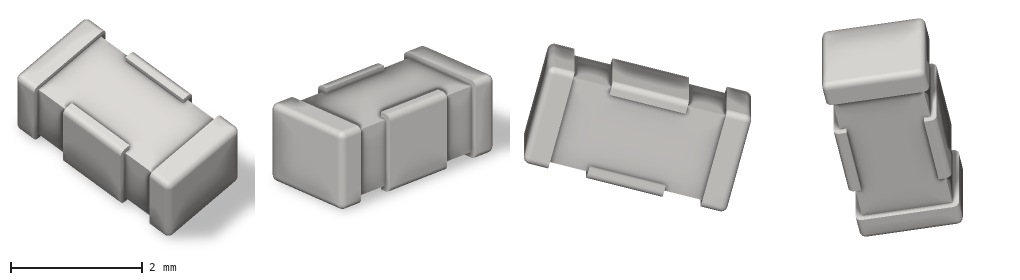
import cadquery as cq

length = 3.2
width = 1.6
height = 1.3

plating = 0.1
cap_length = 0.4
side_length = 1.2
lip_depth = 2 * plating

body_width = width - 2 * plating
body_height = height - 2 * plating


def end_cap(side):
    """Terminal covering one end, rounded everywhere but on its inner face."""
    inner_face = "<X" if side > 0 else ">X"
    cap = cq.Workplane("XY").box(cap_length, width, height)
    cap = cap.edges(f"not({inner_face})").fillet(plating)
    return cap.translate((side * (length - cap_length) / 2, 0, 0))


def side_terminal(side):
    """Terminal on one long side, with lips folded over the top and bottom."""
    outer_face = ">Y" if side > 0 else "<Y"
    terminal = cq.Workplane("XY").box(side_length, lip_depth, height)
    terminal = terminal.edges(f"|X and {outer_face}").fillet(plating)
    return terminal.translate((0, side * (width - lip_depth) / 2, 0))


result = cq.Workplane("XY").box(length - 2 * plating, body_width, body_height)
for side in (-1, 1):
    result = result.union(end_cap(side))
    result = result.union(side_terminal(side))